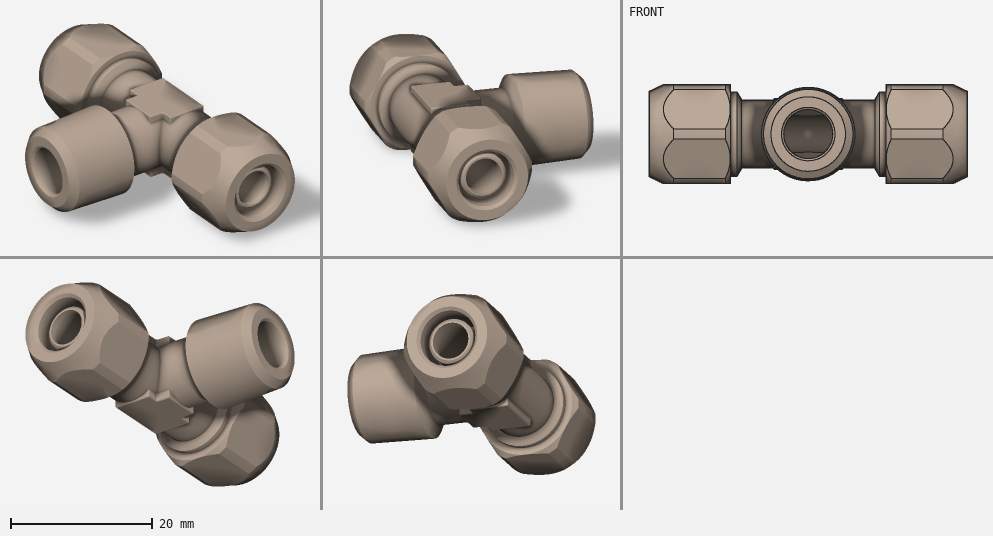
import cadquery as cq
import math


overall_length = 45.0
half_length = overall_length / 2
body_radius = 4.8
run_bore_radius = 2.65

collar_radius = 6.0
collar_cone_start = 12.4
collar_cone_end = 13.05
collar_foot_radius = 4.95

nut_length = 11.48
across_flats = 14.0
corner_radius = 7.7
end_face_radius = 6.05
end_cone_length = 3.45
back_chamfer = corner_radius - across_flats / 2

socket_radius = 4.1
socket_mouth_radius = 4.55
socket_mouth_depth = 0.45
socket_depth = 8.1
sleeve_radius = 3.35
sleeve_tip_radius = 2.92
sleeve_tip_depth = 1.58
sleeve_tip_taper = 0.4

branch_end = 20.95
shoulder_start = 9.4
shoulder_end = 10.5
end_chamfer_length = 1.12
thread_radius = 6.6
taper_per_length = 1 / 32
branch_face_radius = 5.25
branch_bore_radius = 3.45
branch_mouth_radius = 3.8
branch_bore_overrun = 0.2
drill_half_angle = 59.0

pad_half_height = 5.0
pad_half_length = 4.9
pad_half_width = 2.92
pad_stem_half_width = 3.0
pad_stem_reach = 5.05
pad_edge_chamfer = 0.15
pad_inner_fillet = 0.25
pad_outer_fillet = 0.15


def revolve_about_x(profile):
    """Turn a closed (x, radius) profile about the X axis."""
    return cq.Workplane("XY").polyline(profile).close().revolve(360, (0, 0, 0), (1, 0, 0))


def revolve_about_y(profile):
    """Turn a closed (radius, y) profile about the Y axis."""
    return cq.Workplane("XY").polyline(profile).close().revolve(360, (0, 0, 0), (0, 1, 0))


def run_end():
    """Hex nut and collar at the -X end."""
    end = -half_length
    nut_back = end + nut_length
    envelope = revolve_about_x([
        (end, 0),
        (end, end_face_radius),
        (end + end_cone_length, corner_radius),
        (nut_back - back_chamfer, corner_radius),
        (nut_back, corner_radius - back_chamfer),
        (nut_back, 0),
    ])
    across_corners = across_flats / math.cos(math.pi / 6)
    hexagon = cq.Workplane("YZ", origin=(end, 0, 0)).polygon(6, across_corners).extrude(nut_length)
    collar = revolve_about_x([
        (nut_back, 0),
        (nut_back, collar_radius),
        (end + collar_cone_start, collar_radius),
        (end + collar_cone_end, collar_foot_radius),
        (end + collar_cone_end, 0),
    ])
    return envelope.intersect(hexagon).union(collar)


def tube_socket():
    """Space cut from the -X end, leaving the support sleeve standing."""
    end = -half_length
    sleeve_tip = end + sleeve_tip_depth
    return revolve_about_x([
        (end, 0),
        (end, socket_mouth_radius),
        (end + socket_mouth_depth, socket_radius),
        (end + socket_depth, socket_radius),
        (end + socket_depth, sleeve_radius),
        (sleeve_tip + sleeve_tip_taper, sleeve_radius),
        (sleeve_tip, sleeve_tip_radius),
        (sleeve_tip, 0),
    ])


def branch():
    chamfer_start = branch_end - end_chamfer_length
    thread_end_radius = thread_radius - (chamfer_start - shoulder_end) * taper_per_length
    return revolve_about_y([
        (0, 0),
        (body_radius, 0),
        (body_radius, -shoulder_start),
        (thread_radius, -shoulder_end),
        (thread_end_radius, -chamfer_start),
        (branch_face_radius, -branch_end),
        (0, -branch_end),
    ])


def branch_bore():
    """Drilled bore with a conical point and a chamfered mouth."""
    mouth_depth = branch_mouth_radius - branch_bore_radius
    point_length = branch_bore_radius / math.tan(math.radians(drill_half_angle))
    return revolve_about_y([
        (0, -branch_end),
        (branch_mouth_radius, -branch_end),
        (branch_bore_radius, -branch_end + mouth_depth),
        (branch_bore_radius, branch_bore_overrun),
        (0, branch_bore_overrun + point_length),
    ])


def pad_prism(half_length_x, y_min, y_max):
    """Rectangular prism with its four upright edges rounded."""
    block = cq.Workplane("XY").rect(2 * half_length_x, y_max - y_min).extrude(pad_half_height, both=True)
    block = block.translate((0, (y_max + y_min) / 2, 0))
    return block.edges("|Z").fillet(pad_outer_fillet)


def junction_pads():
    """T-shaped prism whose top and bottom stand just proud of the round body."""
    crossbar = pad_prism(pad_half_length, -pad_half_width, pad_half_width)
    stem = pad_prism(pad_stem_half_width, -pad_stem_reach, 0)
    prism = crossbar.union(stem)
    for side in (-1, 1):
        inner_corner = (side * pad_stem_half_width, -pad_half_width, 0)
        prism = prism.edges(cq.NearestToPointSelector(inner_corner)).fillet(pad_inner_fillet)
    return prism.faces("|Z").edges().chamfer(pad_edge_chamfer)


body = cq.Workplane("YZ").circle(body_radius).extrude(half_length - nut_length, both=True)
body = body.union(branch()).union(junction_pads())

left_end = run_end()
left_socket = tube_socket()
body = body.union(left_end).union(left_end.mirror("YZ"))

run_bore = cq.Workplane("YZ").circle(run_bore_radius).extrude(half_length, both=True)
result = (
    body.cut(left_socket)
    .cut(left_socket.mirror("YZ"))
    .cut(run_bore)
    .cut(branch_bore())
)